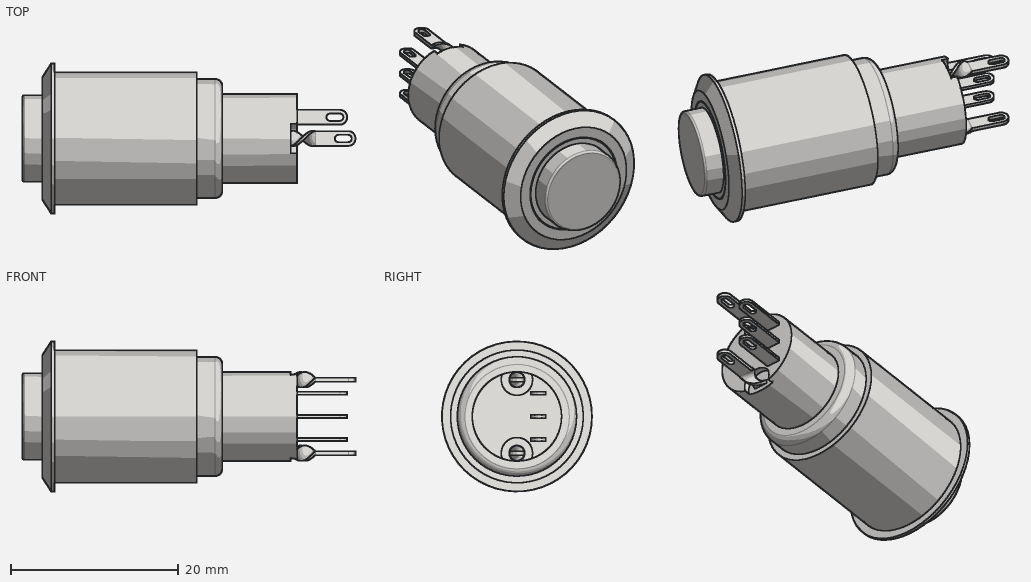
import cadquery as cq


button_diameter = 10.4
button_height = 2.35
button_edge_radius = 0.25

ring_outer_diameter = 11.8
ring_inner_diameter = 10.45

flange_diameter = 18.0
flange_thickness = 1.5
bezel_diameter = 14.6
bevel_depth = 1.1
barrel_diameter = 15.9
barrel_length = 17.05
collar_diameter = 14.3
collar_length = 3.05
collar_edge_radius = 0.9
base_diameter = 10.7
base_length = 8.95
bore_diameter = 12.0
bore_depth = 3.0

flange_front = button_height
flange_back = flange_front + flange_thickness
barrel_back = flange_back + barrel_length
collar_back = barrel_back + collar_length
base_back = collar_back + base_length
bore_floor = flange_front + bore_depth

overall_length = 39.9
terminal_width = 1.8
terminal_eye_width = 0.85
terminal_eye_length = 2.0
straight_thickness = 0.4
straight_tip = 38.9
straight_offset_y = 2.55
straight_pitch_z = 2.77
twisted_thickness = 0.5
twisted_offset_z = 4.4
twist_length = 2.95
twist_angle = -180
pocket_diameter = 3.75
pocket_depth = 0.78

pocket_floor = base_back - pocket_depth
twist_end = pocket_floor + twist_length


def disc(diameter, front, back):
    """Solid cylinder on the X axis."""
    return cq.Workplane("YZ", origin=(front, 0, 0)).circle(diameter / 2).extrude(back - front)


def blade(root, tip, thickness, y, z):
    """Flat solder terminal with a rounded tip and a slotted eye."""
    half_width = terminal_width / 2
    plane = cq.Workplane("XY", origin=(0, y, z - thickness / 2))
    body = (
        plane.moveTo(root, -half_width)
        .lineTo(tip - half_width, -half_width)
        .threePointArc((tip, 0), (tip - half_width, half_width))
        .lineTo(root, half_width)
        .close()
        .extrude(thickness)
    )
    eye_end = tip - half_width + terminal_eye_width / 2
    eye = (
        plane.center(eye_end - terminal_eye_length / 2, 0)
        .slot2D(terminal_eye_length, terminal_eye_width)
        .extrude(thickness)
    )
    return body.cut(eye)


def twisted_terminal(z):
    """Terminal whose root is twisted half a turn before the flat blade."""
    root = (
        cq.Workplane("YZ", origin=(pocket_floor, 0, z))
        .rect(terminal_width, twisted_thickness)
        .twistExtrude(twist_length, twist_angle)
    )
    return root.union(blade(twist_end, overall_length, twisted_thickness, 0, z))


def make_housing():
    """Turned shell with the light-ring bore in front and the terminals behind."""
    profile = [
        (flange_front, 0),
        (flange_front, bezel_diameter / 2),
        (flange_front + bevel_depth, flange_diameter / 2),
        (flange_back, flange_diameter / 2),
        (flange_back, barrel_diameter / 2),
        (barrel_back, barrel_diameter / 2),
        (barrel_back, collar_diameter / 2),
        (collar_back, collar_diameter / 2),
        (collar_back, base_diameter / 2),
        (base_back, base_diameter / 2),
        (base_back, 0),
    ]
    body = cq.Workplane("XY").polyline(profile).close().revolve(360, (0, 0, 0), (1, 0, 0))
    collar_edge = cq.selectors.NearestToPointSelector((collar_back, 0, collar_diameter / 2))
    body = body.edges("%CIRCLE").edges(collar_edge).fillet(collar_edge_radius)
    body = body.cut(disc(bore_diameter, flange_front, bore_floor))

    for side in (-1, 1):
        z = side * twisted_offset_z
        pocket = disc(pocket_diameter, pocket_floor, base_back).translate((0, 0, z))
        body = body.cut(pocket).union(twisted_terminal(z))

    for row in (-1, 0, 1):
        z = row * straight_pitch_z
        body = body.union(blade(pocket_floor, straight_tip, straight_thickness, straight_offset_y, z))
    return body


def make_light_ring():
    """Ring flush with the bezel, seated on the floor of the bore."""
    ring = disc(ring_outer_diameter, flange_front, bore_floor)
    return ring.cut(disc(ring_inner_diameter, flange_front, bore_floor))


def make_button():
    """Round button through the light ring, with a softened front edge."""
    return disc(button_diameter, 0, bore_floor).faces("<X").edges().fillet(button_edge_radius)


housing = make_housing()
light_ring = make_light_ring()
button = make_button()

result = cq.Compound.makeCompound([housing.val(), light_ring.val(), button.val()])